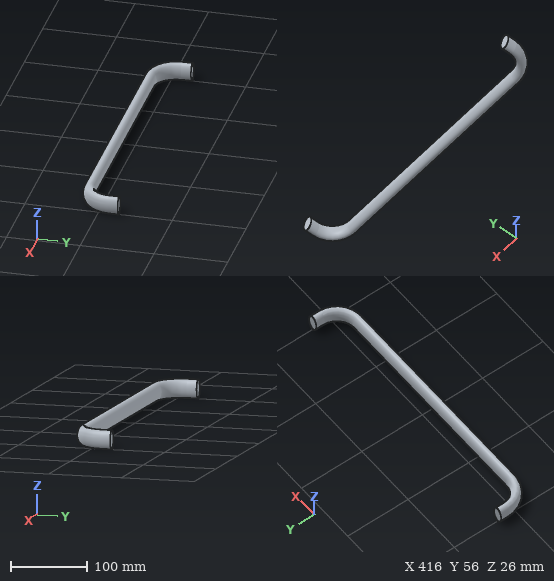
import cadquery as cq

length = 416.0
depth = 56.0
section_width = 16.0
section_height = 26.0
bend_radius = 34.5

half_span = (length - section_width) / 2
bar_y = section_width / 2
bend_start_y = bar_y + bend_radius
grip_end_x = half_span - bend_radius


def leg(x):
    """Straight elliptical leg from the bend to the mounting face."""
    return (
        cq.Workplane("XZ", origin=(x, depth, 0))
        .ellipse(section_width / 2, section_height / 2)
        .extrude(depth - bend_start_y)
    )


def bend(side):
    """Quarter-turn elbow joining a leg to the grip; side is -1 or 1."""
    pivot_x = -side * bend_radius
    return (
        cq.Workplane("XZ", origin=(side * half_span, bend_start_y, 0))
        .ellipse(section_width / 2, section_height / 2)
        .revolve(90, (pivot_x, 0, 0), (pivot_x, -side, 0))
    )


grip = (
    cq.Workplane("YZ", origin=(-grip_end_x, bar_y, 0))
    .ellipse(section_width / 2, section_height / 2)
    .extrude(2 * grip_end_x)
)

result = grip
for end_side in (-1, 1):
    result = result.union(bend(end_side)).union(leg(end_side * half_span))